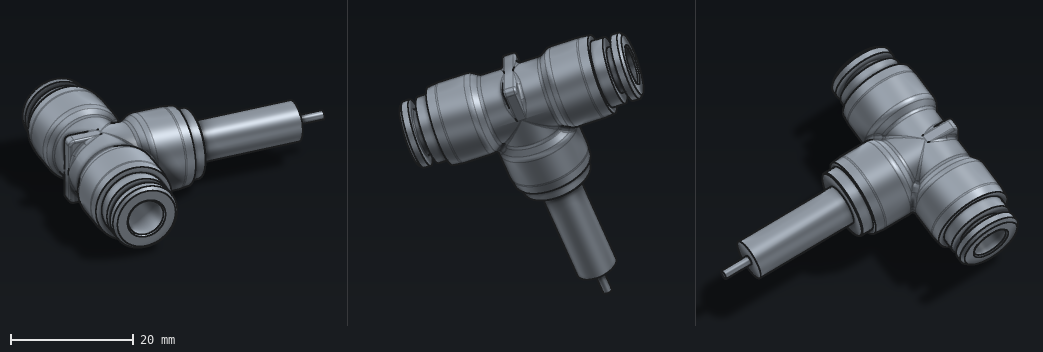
import cadquery as cq
import math


overall_length = 46.55
port_end = 19.4

barrel_diameter = 13.9
barrel_radius = barrel_diameter / 2
waist_radius = 5.95
barrel_end = 14.15
barrel_end_radius = 6.75
taper_blend_length = 0.3
taper_blend_start = 12.25
shoulder_start = 7.5
waist_start = 5.0
shoulder_angle = math.radians(30)
shoulder_outer_round = 1.9
shoulder_inner_round = 1.1
mitre_round = 0.6

rib_width = 2.35
rib_edge_round = 0.4
rib_corner_round = 1.0
rib_root_round = 0.6

sleeve_radius = 5.73
sleeve_end = 16.35
neck_radius = 3.9
neck_round = 0.25
flange_back = 17.7
flange_chamfer = 0.55

bore_radius = 2.5
socket_radius = 3.1
socket_floor = 7.9
socket_floor_round = 0.5
socket_chamfer = 0.3

cap_radius = waist_radius
cap_chamfer = 0.15
tube_radius = 3.5
tube_end = 34.6
stem_radius = 0.8
stem_end = overall_length - barrel_radius
pin_radius = 1.05
pin_tip = -0.7


def revolve_about_x(profile):
    return profile.revolve(360, (0, 0, 0), (1, 0, 0))


def along_y(radius, start, end):
    """Cylinder on the Y axis between two stations."""
    return cq.Workplane("XZ", origin=(0, start, 0)).circle(radius).extrude(start - end)


def both_ports(shape):
    return shape.union(shape.mirror("YZ"))


def body_arm():
    """One arm of the tee body, from the centre to its barrel end on +X."""
    taper_blend_end = taper_blend_start + taper_blend_length
    taper_length = barrel_end - taper_blend_start - taper_blend_length / 2
    taper_slope = (barrel_radius - barrel_end_radius) / taper_length
    taper_blend_radius = barrel_radius - taper_slope * taper_blend_length / 2

    sine = math.sin(shoulder_angle)
    rise = 1 - math.cos(shoulder_angle)
    cone_top = (shoulder_start - shoulder_outer_round * sine, barrel_radius - shoulder_outer_round * rise)
    cone_foot = (waist_start + shoulder_inner_round * sine, waist_radius + shoulder_inner_round * rise)

    profile = (
        cq.Workplane("XY")
        .lineTo(barrel_end, 0)
        .lineTo(barrel_end, barrel_end_radius)
        .lineTo(taper_blend_end, taper_blend_radius)
        .tangentArcPoint((taper_blend_start, barrel_radius), relative=False)
        .lineTo(shoulder_start, barrel_radius)
        .tangentArcPoint(cone_top, relative=False)
        .lineTo(*cone_foot)
        .tangentArcPoint((waist_start, waist_radius), relative=False)
        .lineTo(0, waist_radius)
        .close()
    )
    return revolve_about_x(profile)


def tee_body():
    """Three equal arms with their mitred joints filleted."""
    arm = body_arm()
    tee = both_ports(arm).union(arm.rotate((0, 0, 0), (0, 0, 1), 90))
    mitre_edges = [edge for edge in tee.edges().vals() if edge.geomType() in ("ELLIPSE", "BSPLINE")]
    return tee.newObject(mitre_edges).fillet(mitre_round)


def add_rib(tee):
    """Upright rib on the -Y side, flush with the waist on three sides."""
    rib = (
        cq.Workplane("XY")
        .box(rib_width, waist_radius, 2 * waist_radius)
        .translate((0, -waist_radius / 2, 0))
        .edges("|X and <Y").fillet(rib_corner_round)
        .faces("<Y").edges("|Z").fillet(rib_edge_round)
    )
    ribbed = tee.union(rib)
    root_box = cq.selectors.BoxSelector(
        (-rib_width, -waist_radius, -waist_radius), (rib_width, -waist_radius / 2, waist_radius)
    )
    root_edges = [
        edge
        for edge in ribbed.edges(root_box).edges("%CIRCLE").vals()
        if edge.Length() > waist_radius / 2
        and abs(abs(edge.Center().x) - rib_width / 2) < rib_edge_round / 2
    ]
    return ribbed.newObject(root_edges).fillet(rib_root_round)


def release_collar():
    """Sleeve, neck and push flange at the +X port."""
    profile = (
        cq.Workplane("XY")
        .moveTo(barrel_end, 0)
        .lineTo(barrel_end, sleeve_radius)
        .lineTo(sleeve_end, sleeve_radius)
        .lineTo(sleeve_end, neck_radius)
        .lineTo(flange_back - neck_round, neck_radius)
        .tangentArcPoint((flange_back, neck_radius + neck_round), relative=False)
        .lineTo(flange_back, sleeve_radius)
        .lineTo(port_end - flange_chamfer, sleeve_radius)
        .lineTo(port_end, sleeve_radius - flange_chamfer)
        .lineTo(port_end, 0)
        .close()
    )
    return revolve_about_x(profile)


def port_passage():
    """Space removed from the centre out through the +X port."""
    profile = (
        cq.Workplane("XY")
        .lineTo(0, bore_radius)
        .lineTo(socket_floor, bore_radius)
        .lineTo(socket_floor, socket_radius - socket_floor_round)
        .tangentArcPoint((socket_floor + socket_floor_round, socket_radius), relative=False)
        .lineTo(port_end - socket_chamfer, socket_radius)
        .lineTo(port_end, socket_radius + socket_chamfer)
        .lineTo(port_end, 0)
        .close()
    )
    return revolve_about_x(profile)


def branch_parts():
    """Cap, tube and thin stem stacked on the branch arm."""
    cap = along_y(cap_radius, barrel_end, sleeve_end).faces(">Y").chamfer(cap_chamfer)
    tube = along_y(tube_radius, barrel_end, tube_end)
    stem = along_y(stem_radius, barrel_end, stem_end)
    return cap.union(tube).union(stem)


def pin():
    """Round-nosed pin that reaches from the branch into the passage."""
    nose_centre = pin_tip + pin_radius
    nose = cq.Workplane("XY").sphere(pin_radius).translate((0, nose_centre, 0))
    return along_y(pin_radius, nose_centre, waist_radius).union(nose)


fitting = add_rib(tee_body()).union(both_ports(release_collar())).union(branch_parts())
result = fitting.cut(both_ports(port_passage())).union(pin())